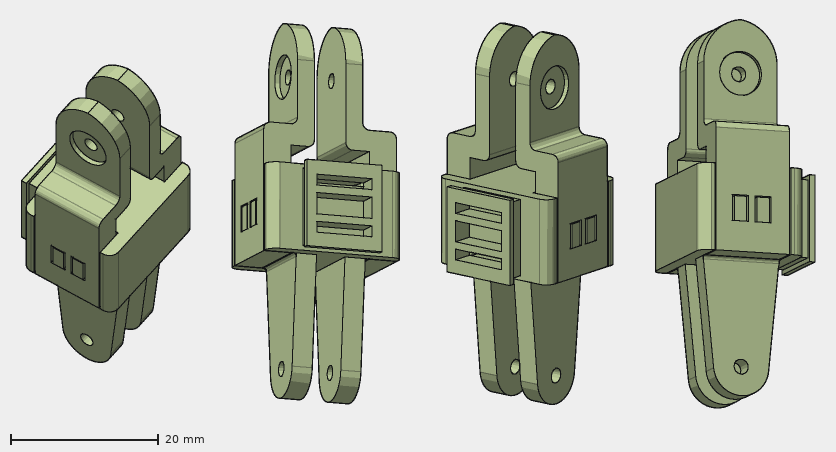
import cadquery as cq
import math


total_height = 51.95

housing_width = 15.0
housing_depth = 19.4
housing_height = 12.0
housing_corner_radius = 1.5
channel_width = 11.0
channel_floor_y = 5.5

leg_inner_y = 2.1
leg_thickness = 2.95
leg_outer_y = leg_inner_y + leg_thickness
leg_hole_drop = 15.0
leg_tip_radius = 4.0
leg_root_fillet = channel_floor_y - leg_outer_y
pivot_hole_diameter = 2.0

clearance = 0.2
bracket_width = channel_width - 2 * clearance
bracket_inner_y = channel_floor_y + clearance
bracket_outer_y = housing_depth / 2
step_underside_z = housing_height + 2.95
step_top_z = housing_height + 5.9
arm_inner_y = 2.3
arm_outer_y = 4.8
arm_top_z = total_height - leg_hole_drop - leg_tip_radius
arm_tip_height = 6.0
bend_radius = 1.0
arm_hole_z = housing_height + 13.5
counterbore_diameter = 6.0
counterbore_depth = 0.75

window_width = 2.35
window_height = 3.6
window_spacing = 3.25
window_offset_x = 0.15
tab_width = 1.75
tab_top_gap = 0.15
window_bottom_z = (housing_height - window_height) / 2
window_centers_x = [window_offset_x + side * window_spacing / 2 for side in (-1, 1)]

plug_reach = 3.0
plate_thickness = 0.85
plate_width = 11.0
neck_width = 9.75
neck_height = 10.75
slot_width = 8.0
center_slot_height = 2.95
outer_slot_height = 1.5
outer_slot_offset = 3.25
tongue_height = 7.0
recess_radius = 3.7
recess_mouth_radius = 0.4
recess_height = 2 * outer_slot_offset + outer_slot_height
plug_face_x = -housing_width / 2
plug_mid_z = housing_height / 2


def box_between(x_range, y_range, z_range):
    """Axis-aligned box given by its limits along X, Y and Z."""
    (x0, x1), (y0, y1), (z0, z1) = x_range, y_range, z_range
    return cq.Workplane("XY").box(x1 - x0, y1 - y0, z1 - z0, centered=False).translate((x0, y0, z0))


def cylinder_along_y(diameter, z, y_start, length):
    """Cylinder on X = 0 that runs from y_start towards +Y."""
    return (
        cq.Workplane("XZ", origin=(0, y_start, z))
        .circle(diameter / 2)
        .extrude(-length)
    )


def on_side(shape, side):
    """A shape modelled on the +Y side, mirrored across Y = 0 for the -Y side."""
    return shape if side > 0 else shape.mirror("XZ")


def quarter_arc_sag(radius):
    """Offset, along both axes, from a quarter arc's tangent corner to the arc's middle."""
    return radius * (1 - math.sqrt(0.5))


def recess_block(height):
    """Half-round block behind the plug face, with a flared mouth, centred on the plug height."""
    mouth_half_width = recess_radius + recess_mouth_radius
    throat_x = plug_face_x + recess_mouth_radius
    flare = quarter_arc_sag(recess_mouth_radius)
    return (
        cq.Workplane("XY", origin=(0, 0, plug_mid_z - height / 2))
        .moveTo(plug_face_x, -mouth_half_width)
        .threePointArc((plug_face_x + flare, -recess_radius - flare), (throat_x, -recess_radius))
        .threePointArc((throat_x + recess_radius, 0), (throat_x, recess_radius))
        .threePointArc((plug_face_x + flare, recess_radius + flare), (plug_face_x, mouth_half_width))
        .close()
        .extrude(height)
    )


def make_leg():
    """Tapered leg below the +Y half of the housing, with a round tip and a filleted root."""
    half_width = channel_width / 2
    corner_distance = math.hypot(half_width, leg_hole_drop)
    corner_angle = math.atan2(leg_hole_drop, half_width)
    tangent_angle = corner_angle - math.acos(leg_tip_radius / corner_distance)
    tangent_x = leg_tip_radius * math.cos(tangent_angle)
    tangent_z = -leg_hole_drop + leg_tip_radius * math.sin(tangent_angle)
    blade = (
        cq.Workplane("XZ", origin=(0, leg_inner_y, 0))
        .moveTo(-half_width, 0)
        .lineTo(half_width, 0)
        .lineTo(tangent_x, tangent_z)
        .threePointArc((0, -leg_hole_drop - leg_tip_radius), (-tangent_x, tangent_z))
        .close()
        .extrude(-leg_thickness)
    )
    hole = cylinder_along_y(pivot_hole_diameter, -leg_hole_drop, leg_inner_y, leg_thickness)
    root = leg_root_fillet
    sag = quarter_arc_sag(root)
    root_fillet = (
        cq.Workplane("YZ", origin=(-half_width, 0, 0))
        .moveTo(leg_outer_y, 0)
        .lineTo(leg_outer_y + root, 0)
        .threePointArc((leg_outer_y + sag, -sag), (leg_outer_y, -root))
        .close()
        .extrude(channel_width)
    )
    return blade.union(root_fillet).cut(hole)


def make_housing():
    """Block with a bracket channel, locking tabs and a leg on each Y side, and the plug recess."""
    body = (
        cq.Workplane("XY")
        .rect(housing_width, housing_depth)
        .extrude(housing_height)
        .edges("|Z")
        .fillet(housing_corner_radius)
    )
    half_channel = channel_width / 2
    channel = box_between(
        (-half_channel, half_channel), (channel_floor_y, housing_depth / 2), (0, housing_height)
    )
    tab_z = (window_bottom_z, window_bottom_z + window_height - tab_top_gap)
    for side in (-1, 1):
        body = body.cut(on_side(channel, side)).union(on_side(make_leg(), side))
        for x in window_centers_x:
            tab_x = (x - tab_width / 2, x + tab_width / 2)
            tab = box_between(tab_x, (channel_floor_y, bracket_outer_y), tab_z)
            body = body.union(on_side(tab, side))
    return body.cut(recess_block(recess_height))


def bracket_profile():
    """Stepped bracket section, extruded over the bracket width."""
    profile = (
        cq.Workplane("YZ", origin=(-bracket_width / 2, 0, 0))
        .moveTo(bracket_inner_y, 0)
        .lineTo(bracket_outer_y, 0)
        .lineTo(bracket_outer_y, step_top_z)
        .lineTo(arm_outer_y, step_top_z)
        .lineTo(arm_outer_y, arm_top_z)
        .lineTo(arm_inner_y, arm_top_z)
        .lineTo(arm_inner_y, step_underside_z)
        .lineTo(bracket_inner_y, step_underside_z)
        .close()
        .extrude(bracket_width)
    )
    rounded_corners = (
        (bracket_outer_y, step_top_z),
        (arm_outer_y, step_top_z),
        (arm_inner_y, step_underside_z),
    )
    for y, z in rounded_corners:
        profile = profile.edges(cq.NearestToPointSelector((0, y, z))).fillet(bend_radius)
    return profile


def arm_outline():
    """Front outline of the bracket: straight sides and two tip arcs that meet in a slight peak."""
    half_width = bracket_width / 2
    shoulder_z = arm_top_z - arm_tip_height
    tip_radius = (half_width**2 + arm_tip_height**2) / (2 * half_width)
    half_sweep = math.asin(arm_tip_height / tip_radius) / 2
    middle_x = half_width - tip_radius * (1 - math.cos(half_sweep))
    middle_z = shoulder_z + tip_radius * math.sin(half_sweep)
    return (
        cq.Workplane("XZ")
        .moveTo(-half_width, 0)
        .lineTo(half_width, 0)
        .lineTo(half_width, shoulder_z)
        .threePointArc((middle_x, middle_z), (0, arm_top_z))
        .threePointArc((-middle_x, middle_z), (-half_width, shoulder_z))
        .close()
        .extrude(-bracket_outer_y)
    )


def make_bracket(side):
    """Bracket that fills the channel on one Y side and carries the upper pivot arm."""
    bracket = bracket_profile().intersect(arm_outline())
    hole = cylinder_along_y(pivot_hole_diameter, arm_hole_z, arm_inner_y, arm_outer_y - arm_inner_y)
    counterbore = cylinder_along_y(
        counterbore_diameter, arm_hole_z, arm_outer_y - counterbore_depth, counterbore_depth
    )
    bracket = bracket.cut(hole).cut(counterbore)
    window_z = (window_bottom_z, window_bottom_z + window_height)
    for x in window_centers_x:
        window_x = (x - window_width / 2, x + window_width / 2)
        bracket = bracket.cut(box_between(window_x, (bracket_inner_y, bracket_outer_y), window_z))
    return on_side(bracket, side)


def plug_block(x_range, width, height):
    """Box centred on the plug axis."""
    y_range = (-width / 2, width / 2)
    z_range = (plug_mid_z - height / 2, plug_mid_z + height / 2)
    return box_between(x_range, y_range, z_range)


def make_plug():
    """Flanged plug with three slots, held by a half-round tongue in the housing recess."""
    front_x = plug_face_x - plug_reach
    plate_back_x = front_x + plate_thickness
    plate = plug_block((front_x, plate_back_x), plate_width, housing_height)
    neck = plug_block((plate_back_x, plug_face_x), neck_width, neck_height)
    plug = plate.union(neck)
    slot_x = (front_x, plug_face_x)
    plug = plug.cut(plug_block(slot_x, slot_width, center_slot_height))
    outer_slot = plug_block(slot_x, slot_width, outer_slot_height)
    for side in (-1, 1):
        plug = plug.cut(outer_slot.translate((0, 0, side * outer_slot_offset)))
    return plug.union(recess_block(tongue_height))


housing = make_housing()
brackets = [make_bracket(side) for side in (-1, 1)]
plug = make_plug()

result = cq.Compound.makeCompound(
    [housing.val(), *[bracket.val() for bracket in brackets], plug.val()]
)